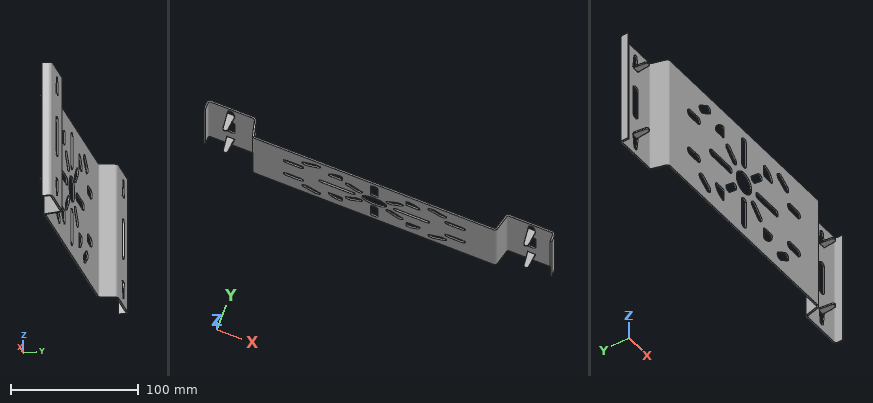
import cadquery as cq
import math

LENGTH = 292.5
DEPTH = 16.0
HEIGHT = 110.0
SHEET = 1.5
INNER_BEND = 1.5
OUTER_BEND = INNER_BEND + SHEET
PLATE_HALF = 102.3
WEB_ANGLE = 75.0
FLANGE_DEPTH = 8.2

CENTRE_HOLE = 20.5
NARROW_SLOT = 6.0
RADIAL_SLOTS = 8
LONG_SLOT = 30.0
LONG_SLOT_RADIUS = 31.3
DIAGONAL_SLOT = 17.5
DIAGONAL_SLOT_RADIUS = 24.3
WIDE_SLOT = 7.0
OUTER_SLOT = 17.0
LEVEL_SLOT_X = 67.8
LEVEL_SLOT_Z = 20.0
TILTED_SLOT_X = 53.0
TILTED_SLOT_Z = 38.3
TILTED_SLOT_ANGLE = 34.0
SECTOR_CORNER = 27.0
SECTOR_RADIUS = 11.7
SECTOR_FILLET = 1.8

WING_X = 126.3
WING_SLOT = 32.7
TONGUE_Z = 35.0
WINDOW_LENGTH = 13.7
TONGUE_ROOT_WIDTH = 6.7
TONGUE_TIP_WIDTH = 4.0
TONGUE_REACH = 14.0

SIDES = (-1, 1)


def bent_sheet():
    half_length = LENGTH / 2
    turn = math.radians(WEB_ANGLE)
    miter = SHEET * math.tan(turn / 2)
    web_run = (DEPTH - SHEET) / math.tan(turn)

    plate_front = (PLATE_HALF, 0)
    plate_back = (PLATE_HALF - miter, SHEET)
    wing_front = (PLATE_HALF + web_run, DEPTH - SHEET)
    wing_back = (PLATE_HALF - miter + web_run, DEPTH)
    flange_inside = (half_length - SHEET, DEPTH - SHEET)
    flange_outside = (half_length, DEPTH)
    flange_end = DEPTH - FLANGE_DEPTH

    front = [plate_front, wing_front, flange_inside, (half_length - SHEET, flange_end)]
    back = [(half_length, flange_end), flange_outside, wing_back, plate_back]
    right = front + back
    left = [(-x, y) for x, y in reversed(right)]
    sheet = (
        cq.Workplane("XY")
        .workplane(offset=-HEIGHT / 2)
        .polyline(right + left)
        .close()
        .extrude(HEIGHT)
    )

    bends = (
        (INNER_BEND, (plate_back, wing_front, flange_inside)),
        (OUTER_BEND, (plate_front, wing_back, flange_outside)),
    )
    for radius, corners in bends:
        for x, y in corners:
            for side in SIDES:
                corner = cq.selectors.NearestToPointSelector((side * x, y, 0))
                sheet = sheet.edges("|Z").edges(corner).fillet(radius)
    return sheet


def cutter(sketch):
    """Extrude an XZ sketch through the whole depth of the part."""
    return cq.Workplane("XZ").placeSketch(sketch).extrude(-DEPTH)


def slot(x, z, length, width, angle):
    """Round-ended slot of the given overall length, tilted by an angle in degrees from X."""
    outline = cq.Sketch().push([(x, z)]).slot(length - width, width, angle=angle)
    return cutter(outline)


def sector(side_x, side_z):
    """Rounded opening with two straight sides and an arc about their shared corner."""
    near = SECTOR_CORNER
    far = near + SECTOR_RADIUS
    middle = near + SECTOR_RADIUS * math.sqrt(0.5)
    return (
        cq.Workplane("XZ")
        .moveTo(side_x * near, side_z * near)
        .lineTo(side_x * far, side_z * near)
        .threePointArc((side_x * middle, side_z * middle), (side_x * near, side_z * far))
        .close()
        .extrude(-DEPTH)
        .edges("|Y")
        .fillet(SECTOR_FILLET)
    )


def tongue_outline(plane, length, direction):
    """Tapered outline with a round tip; it starts at the plane's origin and runs along local Y."""
    root = TONGUE_ROOT_WIDTH / 2
    tip = TONGUE_TIP_WIDTH / 2
    shoulder = direction * (length - tip)
    return (
        plane.moveTo(-root, 0)
        .lineTo(-tip, shoulder)
        .threePointArc((0, direction * length), (tip, shoulder))
        .lineTo(root, 0)
        .close()
    )


def tongue_window(side_x, side_z):
    plane = cq.Workplane("XZ", origin=(side_x * WING_X, 0, side_z * TONGUE_Z))
    return tongue_outline(plane, WINDOW_LENGTH, side_z).extrude(-DEPTH)


def tongue(side_x, side_z):
    plane = cq.Workplane("XY", origin=(side_x * WING_X, DEPTH, side_z * TONGUE_Z))
    return tongue_outline(plane, TONGUE_REACH, -1).extrude(-side_z * SHEET)


result = bent_sheet()

result = result.cut(cutter(cq.Sketch().circle(CENTRE_HOLE / 2)))
for index in range(RADIAL_SLOTS):
    angle = index * 360 / RADIAL_SLOTS
    is_long = index % 2 == 0
    length = LONG_SLOT if is_long else DIAGONAL_SLOT
    radius = LONG_SLOT_RADIUS if is_long else DIAGONAL_SLOT_RADIUS
    slot_x = radius * math.cos(math.radians(angle))
    slot_z = radius * math.sin(math.radians(angle))
    result = result.cut(slot(slot_x, slot_z, length, NARROW_SLOT, angle))

for side_x in SIDES:
    for side_z in SIDES:
        tilt = -side_x * side_z * TILTED_SLOT_ANGLE
        level_x, level_z = side_x * LEVEL_SLOT_X, side_z * LEVEL_SLOT_Z
        tilted_x, tilted_z = side_x * TILTED_SLOT_X, side_z * TILTED_SLOT_Z
        result = result.cut(slot(level_x, level_z, OUTER_SLOT, WIDE_SLOT, 0))
        result = result.cut(slot(tilted_x, tilted_z, OUTER_SLOT, WIDE_SLOT, tilt))
        result = result.cut(sector(side_x, side_z))
        result = result.cut(tongue_window(side_x, side_z))
        result = result.union(tongue(side_x, side_z))

for side_x in SIDES:
    result = result.cut(slot(side_x * WING_X, 0, WING_SLOT, WIDE_SLOT, 90))